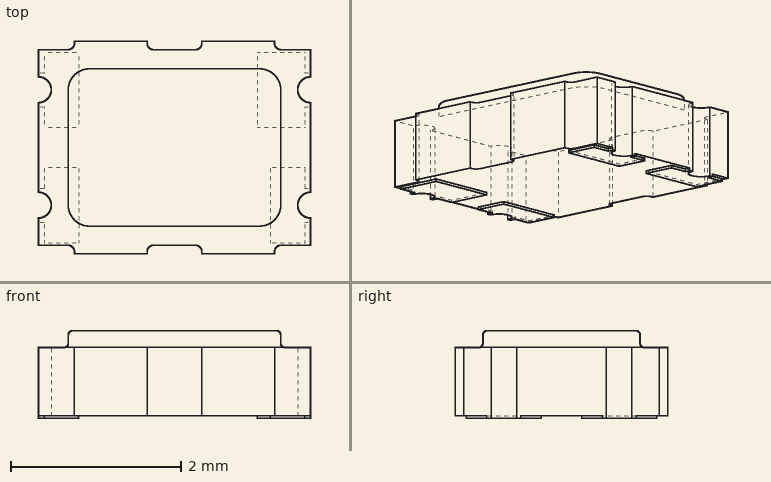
import cadquery as cq

LENGTH = 3.2
WIDTH = 2.5
PAD_HEIGHT = 0.03
LID_HEIGHT = 0.2
BODY_HEIGHT = 0.803

TAB_LENGTH = 0.858
TAB_OFFSET = 0.75
NOTCH_DEPTH = 0.1
NOTCH_CORNER_RADIUS = 0.075

GROOVE_RADIUS = 0.15
GROOVE_OFFSET = 0.68

LID_LENGTH = 2.5
LID_WIDTH = 1.85
LID_CORNER_RADIUS = 0.25
LID_EDGE_RADIUS = 0.05

PAD_WIDTH = 0.885
PAD_REACH = 0.475
LONG_PAD_REACH = 0.627
PAD_SETBACK = 0.07
PAD_NECK_WIDTH = 0.4

SIGNS = (-1, 1)
BODY_TOP = PAD_HEIGHT + BODY_HEIGHT


def block(length, width, height, center_x, center_y, bottom):
    """Box placed by the centre of its footprint and its bottom level."""
    footprint = cq.Workplane("XY", origin=(center_x, center_y, bottom)).rect(length, width)
    return footprint.extrude(height)


def make_body():
    """Ceramic block with round-cornered notches along both long sides."""
    body = block(LENGTH, WIDTH, BODY_HEIGHT, 0, 0, PAD_HEIGHT)
    middle_notch = 2 * TAB_OFFSET - TAB_LENGTH
    end_notch = LENGTH - 2 * TAB_OFFSET - TAB_LENGTH
    notches = ((-LENGTH / 2, end_notch), (0, middle_notch), (LENGTH / 2, end_notch))
    for side in SIGNS:
        for center_x, notch_length in notches:
            cutter = block(
                notch_length, 2 * NOTCH_DEPTH, BODY_HEIGHT, center_x, side * WIDTH / 2, PAD_HEIGHT
            )
            body = body.cut(cutter.edges("|Z").fillet(NOTCH_CORNER_RADIUS))
    return body


def add_lid(body):
    """Lid with round corners, a rolled top edge and a concave fillet at its foot."""
    lid = block(LID_LENGTH, LID_WIDTH, LID_HEIGHT, 0, 0, BODY_TOP)
    lid = lid.edges("|Z").fillet(LID_CORNER_RADIUS)
    lid = lid.faces(">Z").edges().fillet(LID_EDGE_RADIUS)

    reach_x = (LID_LENGTH + LID_EDGE_RADIUS) / 2
    reach_y = (LID_WIDTH + LID_EDGE_RADIUS) / 2
    foot = cq.selectors.BoxSelector(
        (-reach_x, -reach_y, BODY_TOP - LID_EDGE_RADIUS / 2),
        (reach_x, reach_y, BODY_TOP + LID_EDGE_RADIUS / 2),
        boundingbox=True,
    )
    return body.union(lid).edges(foot).fillet(LID_EDGE_RADIUS)


def make_pad(side_x, side_y):
    """Pad set back from the end face, with a neck that runs out to that face."""
    is_long = side_x > 0 and side_y > 0
    reach = LONG_PAD_REACH if is_long else PAD_REACH
    center_y = side_y * GROOVE_OFFSET

    plate_length = reach - PAD_SETBACK
    plate_x = side_x * (LENGTH / 2 - PAD_SETBACK - plate_length / 2)
    plate = block(plate_length, PAD_WIDTH, PAD_HEIGHT, plate_x, center_y, 0)

    neck_x = side_x * (LENGTH / 2 - reach / 2)
    neck = block(reach, PAD_NECK_WIDTH, PAD_HEIGHT, neck_x, center_y, 0)
    return plate.union(neck)


def make_groove(side_x, side_y):
    """Cylinder on the end face that cuts through both the body and the pad."""
    center = (side_x * LENGTH / 2, side_y * GROOVE_OFFSET, 0)
    return cq.Workplane("XY", origin=center).circle(GROOVE_RADIUS).extrude(BODY_TOP)


result = add_lid(make_body())
for side_x in SIGNS:
    for side_y in SIGNS:
        result = result.union(make_pad(side_x, side_y))
        result = result.cut(make_groove(side_x, side_y))